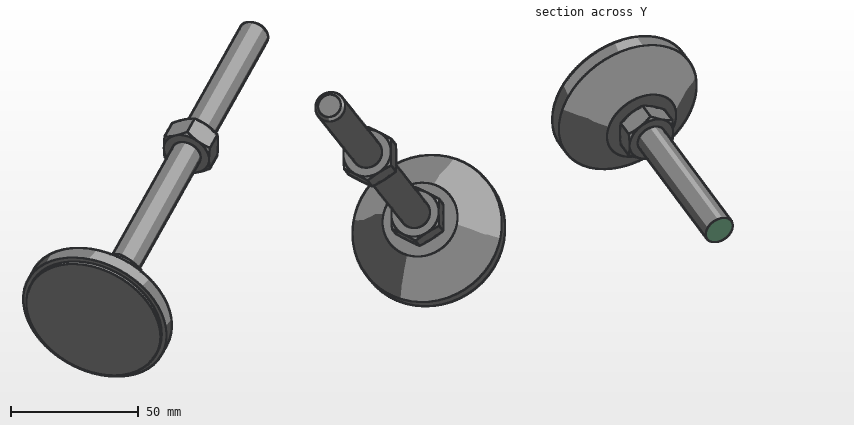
import cadquery as cq
import math

total_length = 179.0

foot_diameter = 60.0
pad_diameter = 56.0
cone_top_diameter = 30.0
pad_height = 1.6
rim_top = 7.7
foot_height = 20.0

stud_diameter = 12.0
stud_chamfer = 1.5

across_flats = 19.0
base_hex_height = 8.8
lock_nut_height = 10.0
lock_nut_start = 103.0
hex_chamfer_angle = 30.0


def make_foot():
    """Revolve the pad, cylindrical rim and conical top about Y."""
    pad_radius = pad_diameter / 2
    rim_radius = foot_diameter / 2
    outline = [
        (0, 0),
        (pad_radius, 0),
        (pad_radius, pad_height),
        (rim_radius, pad_height),
        (rim_radius, rim_top),
        (cone_top_diameter / 2, foot_height),
        (0, foot_height),
    ]
    return cq.Workplane("XY").polyline(outline).close().revolve(360, (0, 0), (0, 1))


def make_stud():
    """Rod from the foot to the free end, chamfered at the free end."""
    return (
        cq.Workplane("XZ", origin=(0, foot_height, 0))
        .circle(stud_diameter / 2)
        .extrude(foot_height - total_length)
        .faces(">Y")
        .chamfer(stud_chamfer)
    )


def make_hexagon(start, height):
    """Hexagon with flats facing X, its corners chamfered at both ends."""
    across_corners = across_flats / math.cos(math.radians(30))
    prism = (
        cq.Workplane("XZ", origin=(0, start, 0))
        .transformed(rotate=(0, 0, 90))
        .polygon(6, across_corners)
        .extrude(-height)
    )
    corner_radius = across_corners / 2
    face_radius = across_flats / 2
    drop = (corner_radius - face_radius) * math.tan(math.radians(hex_chamfer_angle))
    envelope_outline = [
        (0, start),
        (face_radius, start),
        (corner_radius, start + drop),
        (corner_radius, start + height - drop),
        (face_radius, start + height),
        (0, start + height),
    ]
    envelope = cq.Workplane("XY").polyline(envelope_outline).close().revolve(360, (0, 0), (0, 1))
    return prism.intersect(envelope)


base_hex = make_hexagon(foot_height, base_hex_height)
lock_nut = make_hexagon(lock_nut_start, lock_nut_height)
result = make_foot().union(make_stud()).union(base_hex).union(lock_nut)